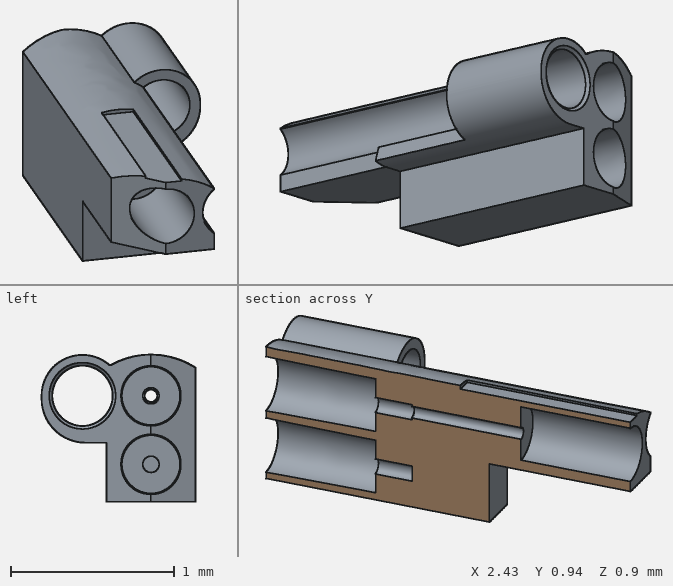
import cadquery as cq
import math

LENGTH = 2.43
HEIGHT = 0.9
HALF_WIDTH = 0.272
BAR_SIDE = 0.305
BLOCK_LENGTH = 1.49
BAR_BOTTOM = 0.395

DOME_EDGE = 0.82
REAR_HEIGHT = 0.892
FRONT_BEVEL = 0.09
REAR_BEVEL = HALF_WIDTH

BORE_Z = 0.646
BARREL_BORE_Y = 0.418
BARREL_RADIUS = 0.25
BARREL_FOOT_RADIUS = 0.27
BARREL_BOTTOM = 0.36
BARREL_SIDE = BARREL_BORE_Y + BARREL_RADIUS
BARREL_LENGTH = 0.765
BORE_DIAMETER = 0.367
BORE_CHAMFER = 0.02
CRADLE_ANGLE = 17.0

LOWER_BORE_Z = 0.228
BORE_DEPTH = 0.73
BORE_FLOOR_DIAMETER = 0.355
NECK_DIAMETER = 0.1
NECK_DEPTH = 0.243
PASSAGE_DIAMETER = 0.075
REAR_BORE_DIAMETER = 0.36

FLAT_START = 1.298
FLAT_WIDTH = 0.2
FLAT_Z = 0.87


def box(x_range, y_range, z_range):
    """Box spanning the given limits."""
    sizes = [limits[1] - limits[0] for limits in (x_range, y_range, z_range)]
    corner = (x_range[0], y_range[0], z_range[0])
    return cq.Workplane("XY").box(*sizes, centered=False).translate(corner)


def rod(x_start, x_end, y, z, diameter):
    """Cylinder along X."""
    plane = cq.Workplane("YZ", origin=(x_start, y, z))
    return plane.circle(diameter / 2).extrude(x_end - x_start)


def taper(x_start, x_end, y, z, start_diameter, end_diameter):
    """Cone frustum along X."""
    plane = cq.Workplane("YZ", origin=(x_start, y, z)).circle(start_diameter / 2)
    return plane.workplane(offset=x_end - x_start).circle(end_diameter / 2).loft()


def dome_height(apex, y):
    """Height at y of the arc with this apex that meets the dome edge at the half width."""
    rise = apex - DOME_EDGE
    radius = (HALF_WIDTH**2 + rise**2) / (2 * rise)
    return apex - radius + math.sqrt(radius**2 - y**2)


def domed_section(work, apex):
    """Cross-section of the body with its arched top."""
    return (
        work.moveTo(-HALF_WIDTH, 0)
        .lineTo(BAR_SIDE, 0)
        .lineTo(BAR_SIDE, dome_height(apex, BAR_SIDE))
        .threePointArc((0, apex), (-HALF_WIDTH, DOME_EDGE))
        .close()
    )


def make_body():
    """Tapered-dome body with beveled ends and a stepped underside."""
    front = domed_section(cq.Workplane("YZ"), HEIGHT)
    body = domed_section(front.workplane(offset=LENGTH), REAR_HEIGHT).loft(ruled=True)
    outline = (
        cq.Workplane("XY")
        .polyline([
            (0, 0),
            (FRONT_BEVEL, -HALF_WIDTH),
            (LENGTH - REAR_BEVEL, -HALF_WIDTH),
            (LENGTH, 0),
            (LENGTH, BAR_SIDE),
            (0, BAR_SIDE),
        ])
        .close()
        .extrude(HEIGHT)
    )
    body = body.intersect(outline)
    body = body.cut(box((BLOCK_LENGTH, LENGTH), (-HALF_WIDTH, BAR_SIDE), (0, BAR_BOTTOM)))
    return body.cut(box((0, BLOCK_LENGTH), (HALF_WIDTH, BAR_SIDE), (0, BARREL_BOTTOM)))


def make_barrel(x_start, x_end):
    """Round barrel whose underside follows a larger tangent arc into a flat foot."""
    foot_y = BARREL_SIDE - BARREL_FOOT_RADIUS
    foot_z = BARREL_BOTTOM + BARREL_FOOT_RADIUS
    foot_diagonal = BARREL_FOOT_RADIUS * math.sqrt(0.5)
    foot = (
        cq.Workplane("YZ", origin=(x_start, 0, 0))
        .moveTo(0, BORE_Z)
        .lineTo(0, BARREL_BOTTOM)
        .lineTo(foot_y, BARREL_BOTTOM)
        .threePointArc(
            (foot_y + foot_diagonal, foot_z - foot_diagonal),
            (BARREL_SIDE, foot_z),
        )
        .lineTo(BARREL_SIDE, BORE_Z)
        .close()
        .extrude(x_end - x_start)
    )
    return rod(x_start, x_end, BARREL_BORE_Y, BORE_Z, 2 * BARREL_RADIUS).union(foot)


def make_cradle():
    """Lower part of the barrel section, ended by a face radial to its bore."""
    reach = 2 * BARREL_FOOT_RADIUS
    angle = math.radians(CRADLE_ANGLE)
    keep = (
        cq.Workplane("YZ", origin=(BARREL_LENGTH, 0, 0))
        .polyline([
            (0, BORE_Z),
            (BARREL_BORE_Y, BORE_Z),
            (BARREL_BORE_Y + reach * math.sin(angle), BORE_Z - reach * math.cos(angle)),
            (0, BORE_Z - reach),
        ])
        .close()
        .extrude(BLOCK_LENGTH - BARREL_LENGTH)
    )
    return make_barrel(BARREL_LENGTH, BLOCK_LENGTH).intersect(keep)


def front_bore(z):
    """Slightly tapered bore from the front face with a narrow neck in its floor."""
    bore = taper(0, BORE_DEPTH, 0, z, BORE_DIAMETER, BORE_FLOOR_DIAMETER)
    return bore.union(rod(BORE_DEPTH, BORE_DEPTH + NECK_DEPTH, 0, z, NECK_DIAMETER))


result = make_body().union(make_barrel(0, BARREL_LENGTH)).union(make_cradle())

result = result.cut(rod(0, LENGTH, BARREL_BORE_Y, BORE_Z, BORE_DIAMETER))
mouth_diameter = BORE_DIAMETER + 2 * BORE_CHAMFER
result = result.cut(taper(0, BORE_CHAMFER, BARREL_BORE_Y, BORE_Z, mouth_diameter, BORE_DIAMETER))

for bore_z in (BORE_Z, LOWER_BORE_Z):
    result = result.cut(front_bore(bore_z))
result = result.cut(rod(BORE_DEPTH, LENGTH, 0, BORE_Z, PASSAGE_DIAMETER))
result = result.cut(rod(LENGTH - BORE_DEPTH, LENGTH, 0, BORE_Z, REAR_BORE_DIAMETER))

result = result.cut(
    box((FLAT_START, LENGTH), (-FLAT_WIDTH / 2, FLAT_WIDTH / 2), (FLAT_Z, HEIGHT))
)